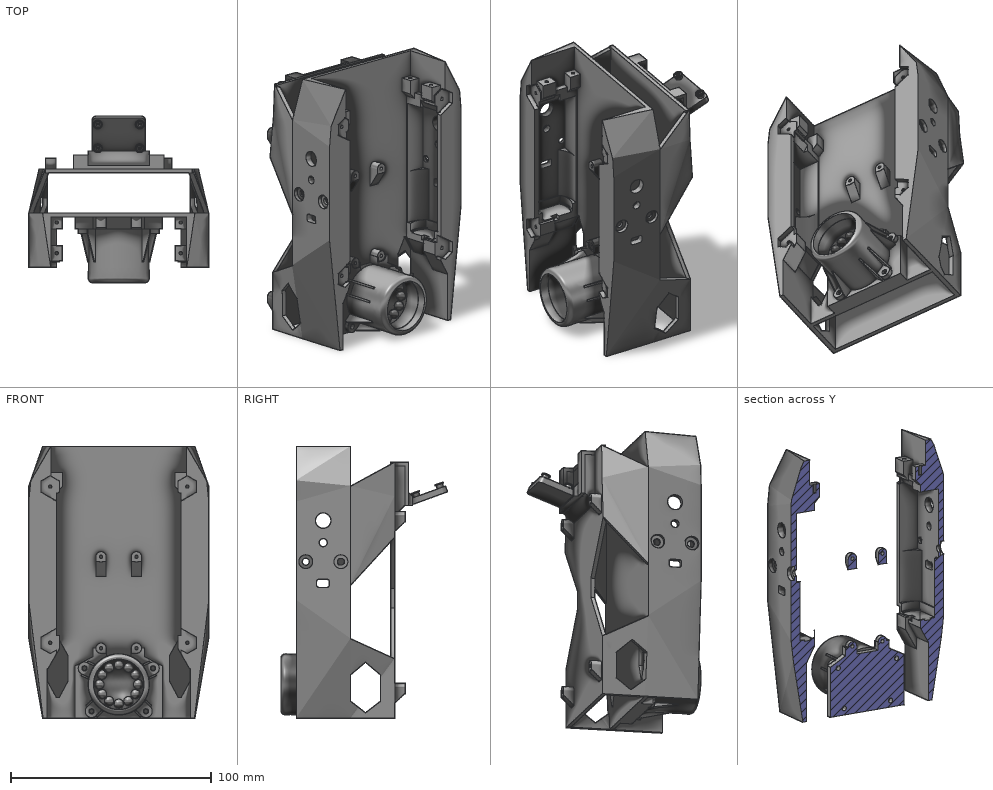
import cadquery as cq
import math


height = 136.0
half_width = 45.0
front_y = -27.2
back_y = 22.0
wall = 2.0
pilot_dia = 1.6
boss_dia = 5.2
boss_height = 5.3

shoulder_z = 116.1
hip_z = 39.8
end_half_width = 38.1
upper_inner = 33.9
rail_inner = 31.0
lower_inner = 35.8
rail_top_z = 115.9
rail_bottom_z = 24.2
rail_split_y = -16.3
rail_foot_inner = 29.5
mount_x = 34.3
mount_zs = (37.8, 115.9)
mount_flat = 9.4
mount_face_y = -24.6
mount_hole_depth = 6.8
pocket_y = -13.9
pocket_x = 33.0
pocket_back_x = 41.6
boss_x = 8.8
upper_boss_z = 80.8
upper_boss_drop = 7.5

strut_wall = 2.5
standoff_dia = 5.5
standoff_xs = (-34.0, 23.8)
standoff_zs = (15.0, 100.8)
standoff_drop = 5.0
rear_corners = ((36.7, 128.1), (37.5, 111.0), (39.8, 90.6))
lower_corner_z = 29.8
bracket_half = 22.7
bracket_back_y = 29.0
bracket_bottom_z = 106.4
bracket_top_z = rear_corners[0][1]
notch_half = 15.4
notch_y = 23.8

cover_wall = 1.9
cover_y = bracket_back_y - cover_wall
cover_z = bracket_top_z - cover_wall
tray_tilt = 20.0
foot_back_y = 31.0

lamp_z = 17.0
lamp_dia = 30.5
lamp_back_y = -8.0
lamp_front_y = -35.0
lamp_floor = 2.3
flare_y = -27.7
lamp_flare = 0.1
lamp_round = 2.5
bore_dia = 25.0
mouth_dia = 25.3
mouth_back_y = -30.5
foot_hole_dia = 2.6
foot_pilot_dia = 2.2
foot_width = 6.3
foot_centres = ((17.1, 25.0), (13.6, 3.5))
rib_thickness = 1.0
rib_front_y = -24.5

module_front_y = -22.2
dish_depth = 5.5
bulb_y = -20.8
bulb_count = 12
bulb_dia = 4.8
bulb_circle_dia = 19.5


def slab(outline, y_from, y_to):
    """Plate with an XZ outline, between two y positions."""
    return cq.Workplane("XZ", origin=(0, y_from, 0)).polyline(outline).close().extrude(y_from - y_to)


def profile(outline, x_from, x_to):
    """Bar with a YZ outline, between two x positions."""
    return cq.Workplane("YZ", origin=(x_from, 0, 0)).polyline(outline).close().extrude(x_to - x_from)


def block(x_from, x_to, y_from, y_to, z_from, z_to):
    size = (x_to - x_from, y_to - y_from, z_to - z_from)
    return cq.Workplane("XY").box(*size, centered=False).translate((x_from, y_from, z_from))


def rod_y(x, z, dia, y_from, y_to):
    """Round bar along Y."""
    return cq.Workplane("XZ", origin=(x, y_from, z)).circle(dia / 2).extrude(y_from - y_to)


def rod_x(y, z, dia, x_from, x_to):
    """Round bar along X."""
    return cq.Workplane("YZ", origin=(x_from, y, z)).circle(dia / 2).extrude(x_to - x_from)


def rod_z(x, y, dia, z_from, z_to):
    """Round bar along Z."""
    return cq.Workplane("XY", origin=(x, y, z_from)).circle(dia / 2).extrude(z_to - z_from)


def mirrored(points):
    """Half outline followed by its mirror image in x = 0."""
    return points + [(-x, z) for x, z in reversed(points)]


def both_sides(half):
    return half.union(half.mirror("YZ"))


def polyhedron(faces):
    """Solid enclosed by flat faces, each given by its corners."""
    outlines = [cq.Wire.makePolygon([cq.Vector(*p) for p in face], close=True) for face in faces]
    shell = cq.Shell.makeShell([cq.Face.makeFromWires(outline) for outline in outlines])
    return cq.Workplane(cq.Solid.makeSolid(shell))


def flip(point):
    return (-point[0], point[1], point[2])


def boss(x, z, dia, base_y, direction, drop):
    """Round-topped screw boss on an upright plate, carried by a wedge that ends `drop` lower."""
    tip_y = base_y + direction * boss_height
    ledge_z = z - 2.3
    side = [(base_y, z), (tip_y, z), (tip_y, ledge_z), (base_y, ledge_z - drop)]
    body = profile(side, x - dia / 2, x + dia / 2).union(rod_y(x, z, dia, base_y, tip_y))
    return body.cut(rod_y(x, z, pilot_dia, base_y, tip_y))



def faceted_block():
    """Full-width block whose flanks fold along straight creases."""
    seam = [
        (end_half_width, 0, height),
        (half_width, 0, shoulder_z),
        (half_width, 0, hip_z),
        (end_half_width, 0, 0),
    ]
    front = [
        (upper_inner + 0.1, front_y, height),
        (43.9, front_y, 118.9),
        (half_width, front_y, 108.3),
        (half_width, front_y, 59.2),
        (37.8, front_y, 0),
    ]
    flank = [
        [seam[0], front[0], front[1]],
        [seam[0], front[1], seam[1]],
        [seam[1], front[1], front[2]],
        [seam[1], front[2], front[3], seam[2]],
        [seam[2], front[3], front[4]],
        [seam[2], front[4], seam[3]],
    ]
    faces = flank + [[flip(p) for p in face] for face in flank]
    for row in (seam, front):
        faces.append(row + [flip(p) for p in reversed(row)])
    for end in (0, -1):
        faces.append([seam[end], front[end], flip(front[end]), flip(seam[end])])
    return polyhedron(faces)


def flank_space():
    """Open space between the flanks, in front of the plate."""
    top = [(upper_inner, height), (upper_inner, rail_top_z), (rail_inner, rail_top_z)]
    deep = top + [(rail_inner, 38.6), (lower_inner, 30.3), (lower_inner, 0)]
    foot = [(rail_inner, 41.5), (rail_foot_inner, 41.5), (rail_foot_inner, 35.1), (lower_inner, rail_bottom_z)]
    shallow = top + foot + [(lower_inner, 0)]
    space = slab(mirrored(deep), -wall, rail_split_y)
    space = space.union(slab(mirrored(shallow), rail_split_y, front_y))
    return space.union(block(-rail_inner, rail_inner, front_y, mount_face_y, rail_bottom_z, rail_top_z))


def hexagon(x, z):
    radius = mount_flat / math.sqrt(3)
    return [
        (x + radius * math.cos(math.radians(a)), z + radius * math.sin(math.radians(a)))
        for a in range(30, 390, 60)
    ]


def mount_recess(z, direction):
    """Pad recess in a flank's front face, left open toward the middle; direction is its open end."""
    half_flat = mount_flat / 2
    corner = mount_flat / math.sqrt(3)
    open_x = mount_x - mount_flat
    outer_x = mount_x + half_flat
    run = (outer_x - open_x) / math.sqrt(3)
    outline = [
        (mount_x, z - direction * corner),
        (outer_x, z - direction * corner / 2),
        (outer_x, z + direction * corner / 2),
        (open_x, z + direction * (corner / 2 + run)),
        (open_x, z),
    ]
    return slab(outline, mount_face_y, front_y)


def flank_pocket():
    """Upright pocket open toward the middle: square above, U-shaped below, over a stepped round seat."""
    half = 10.9
    seat_x = 35.4
    seat_back_x = pocket_back_x - 0.7
    mouth_x = rail_foot_inner
    shelf_z = 73.5
    pocket_top_z = 109.2
    ledge_z = 46.9
    step_z = 42.8
    floor_z = 42.2
    back, front = pocket_y + half, pocket_y - half
    pocket = block(mouth_x, pocket_back_x, front, back, shelf_z, pocket_top_z)
    pocket = pocket.union(block(mouth_x, pocket_x, front, back, ledge_z, shelf_z))
    barrel = rod_z(pocket_x, pocket_y, 2 * half, ledge_z, shelf_z)
    upper_seat = rod_z(seat_x, pocket_y, 19.5, step_z, ledge_z)
    lower_seat = rod_z(seat_x, pocket_y, 18.0, floor_z, step_z)
    seats = upper_seat.union(lower_seat).cut(block(seat_back_x, 2 * seat_back_x, front, back, 0, height))
    barrel = barrel.cut(block(pocket_back_x, 2 * pocket_back_x, front, back, 0, height))
    pocket = pocket.union(barrel).union(seats)
    ramp = slab([(rail_inner, pocket_top_z), (rail_inner, 113.0), (33.2, pocket_top_z)], -12.2, -24.0)
    drain_notch = block(mouth_x, 33.0, rail_split_y, -13.0, 40.1, floor_z)
    return pocket.union(ramp).union(drain_notch)


def flank_holes():
    """Holes through the flat part of a flank."""
    inside = rail_inner
    counterbore_depth = 2.0
    holes = rod_x(pocket_y + 0.1, 98.9, 7.6, inside, half_width)
    holes = holes.union(rod_x(pocket_y + 0.1, 87.9, 4.0, inside, half_width))
    for y in (-4.9, -22.5):
        holes = holes.union(rod_x(y, 78.3, 3.4, inside, half_width))
        holes = holes.union(rod_x(y, 78.3, 7.0, half_width - counterbore_depth, half_width))
    slot = block(inside, half_width, pocket_y - 3.1, pocket_y + 3.1, 65.5, 69.5).edges("|X").fillet(1.1)
    return holes.union(slot)


def top_blocks():
    """Two screw blocks at the top of a rail, with vertical pilot holes."""
    tip_x = 28.2
    outline = [(35.4, 123.0), (tip_x, 123.0), (tip_x, 115.9), (rail_inner, 113.0), (35.4, 113.0)]
    hole_x = (tip_x + upper_inner) / 2
    blocks = slab(outline, -wall, lamp_back_y).union(slab(outline, rail_split_y, -24.0))
    for y in (-4.8, -20.1):
        blocks = blocks.cut(rod_z(hole_x, y, pilot_dia, 118.3, 123.0))
    return blocks


def lamp_pad():
    """Stepped pad that carries the lamp, with two screw bosses on its top corners."""
    outline = [(21.8, 0), (21.8, 26.2), (12.9, 30.9), (12.9, 35.1), (6.1, 35.1), (6.1, 30.9)]
    pad = slab(mirrored(outline), -wall, lamp_back_y)
    boss_z = 35.1
    boss_y = -wall - boss_height
    radius = boss_dia / 2
    top = rod_y(boss_x, boss_z, boss_dia, -wall, boss_y)
    recess = rod_y(boss_x, boss_z, boss_dia, boss_y, lamp_back_y)
    recess = recess.union(block(boss_x - radius, boss_x, lamp_back_y, boss_y, boss_z - radius, boss_z))
    hole = rod_y(boss_x, boss_z, pilot_dia, -wall, boss_y)
    pad = pad.union(both_sides(top)).cut(both_sides(recess)).cut(both_sides(hole))
    return pad


def plate_window():
    """Tall eight-sided window in the plate, beside the inner face of a flank."""
    inner_x = 25.3
    tip_xs = (29.8, 31.1)
    side_zs = (18.8, 31.3)
    tip_zs = (10.3, 39.3)
    outline = [
        (lower_inner, side_zs[0]), (tip_xs[1], tip_zs[0]), (tip_xs[0], tip_zs[0]), (inner_x, side_zs[0]),
        (inner_x, side_zs[1]), (tip_xs[0], tip_zs[1]), (tip_xs[1], tip_zs[1]), (lower_inner, side_zs[1]),
    ]
    return slab(outline, 0, -wall)


housing = faceted_block().cut(flank_space())
housing = housing.union(both_sides(top_blocks()))
for mount_z, open_end in zip(mount_zs, (1, -1)):
    housing = housing.cut(both_sides(mount_recess(mount_z, open_end)))
    housing = housing.union(both_sides(slab(hexagon(mount_x, mount_z), rail_split_y, mount_face_y)))
    housing = housing.cut(both_sides(rod_y(mount_x, mount_z, pilot_dia, mount_face_y + mount_hole_depth, front_y)))
housing = housing.cut(both_sides(flank_pocket())).cut(both_sides(flank_holes()))
housing = housing.cut(both_sides(plate_window()))
housing = housing.union(lamp_pad())
housing = housing.union(both_sides(boss(boss_x, upper_boss_z, boss_dia, -wall, -1, upper_boss_drop)))
for foot_x, foot_z in foot_centres:
    housing = housing.cut(both_sides(rod_y(foot_x, foot_z, foot_pilot_dia, -wall, lamp_back_y)))


def upper_strut(inset):
    """Faceted strut block from the seam to the back plate, down to x = 0, set in by `inset`."""
    tip = half_width - inset
    seam = [(tip, 0, shoulder_z), (tip, 0, 66.5)]
    back = [(x - inset, back_y, z) for x, z in rear_corners]
    ridge = [(0, *p[1:]) for p in (back[0], seam[0], seam[1], back[2])]
    return polyhedron([
        [back[0], seam[0], back[1]],
        [back[1], seam[0], seam[1]],
        [back[1], seam[1], back[2]],
        [back[0], back[1], back[2], ridge[3], ridge[0]],
        [seam[0], seam[1], ridge[2], ridge[1]],
        [back[0], seam[0], ridge[1], ridge[0]],
        [back[2], seam[1], ridge[2], ridge[3]],
        ridge,
    ])


def lower_strut(inset):
    """Faceted foot block from the seam to the back plate, down to x = 0, set in by `inset`."""
    toe = end_half_width - inset
    seam = [(half_width - inset, 0, hip_z), (toe, 0, 0)]
    back = [(toe, back_y, lower_corner_z), (toe, back_y, 0)]
    ridge = [(0, *p[1:]) for p in (back[0], seam[0], seam[1], back[1])]
    return polyhedron([
        [back[0], seam[0], seam[1]],
        [back[0], seam[1], back[1]],
        [back[0], back[1], ridge[3], ridge[0]],
        [seam[0], seam[1], ridge[2], ridge[1]],
        [back[0], seam[0], ridge[1], ridge[0]],
        [back[1], seam[1], ridge[2], ridge[3]],
        ridge,
    ])


def back_plate():
    """Rear plate narrowed to a waist between the upper and lower struts."""
    waist = 14.1
    lower_edge = [(waist, 64.9), (waist, 55.1), (end_half_width, lower_corner_z), (end_half_width, 0)]
    outline = list(rear_corners) + lower_edge
    return slab(mirrored(outline), back_y, back_y - wall)


def bracket_base():
    """Block on the back plate that the cover fits over, notched for the foot of the cover."""
    ramp_z = bracket_bottom_z - (cover_y - back_y)
    side = [(back_y, ramp_z), (cover_y, bracket_bottom_z), (cover_y, cover_z), (back_y, cover_z)]
    base = profile(side, -bracket_half, bracket_half)
    return base.cut(block(-notch_half, notch_half, notch_y, cover_y, bracket_bottom_z, cover_z))


def side_window():
    """Upright hexagonal window through a lower strut, starting at the seam."""
    width = 14.8
    side_zs = (8.5, 21.8)
    tip_zs = (2.9, 28.0)
    outline = [
        (0, side_zs[1]), (width / 2, tip_zs[1]), (width, side_zs[1]),
        (width, side_zs[0]), (width / 2, tip_zs[0]), (0, side_zs[0]),
    ]
    return profile(outline, 0, half_width)


upper = upper_strut(0).cut(upper_strut(strut_wall))
lower = lower_strut(0).cut(lower_strut(strut_wall))
lower = lower.cut(side_window())
rear_frame = back_plate().union(both_sides(upper)).union(both_sides(lower)).union(bracket_base())
for standoff_x in standoff_xs:
    for standoff_z in standoff_zs:
        rear_frame = rear_frame.union(boss(standoff_x, standoff_z, standoff_dia, back_y, 1, standoff_drop))

chassis = housing.union(rear_frame)


def cover_shell():
    """L-shaped cover over the bracket base, with a sloping foot in its notch."""
    angle_profile = [
        (back_y, bracket_top_z), (bracket_back_y, bracket_top_z), (bracket_back_y, bracket_bottom_z),
        (cover_y, bracket_bottom_z), (cover_y, cover_z), (back_y, cover_z),
    ]
    shell = profile(angle_profile, -bracket_half, bracket_half)
    shell = shell.cut(block(-notch_half, notch_half, notch_y, bracket_back_y, bracket_bottom_z, bracket_top_z))
    slope_z = 110.8
    foot = [
        (notch_y, bracket_bottom_z), (foot_back_y, bracket_bottom_z), (foot_back_y, slope_z),
        (notch_y, slope_z + foot_back_y - notch_y),
    ]
    return shell.union(profile(foot, -notch_half, notch_half))


def tray():
    """Plate with four flanged tubes, built level with its root at the origin and then tilted."""
    half, length, thickness = 13.3, 18.6, 3.1
    root = 1.4
    root_z = 106.9
    corner_radius = 2.3
    tube_dia = 3.4
    flange_dia = 4.5
    tube_top = thickness + 2.3
    flange_z = tube_top - 0.5
    sink_z = tube_top - 0.3
    plate = block(-half, half, -root, length, 0, thickness).edges("|Z and >Y").fillet(corner_radius)
    for x in (-10.5, 10.5):
        for y in (3.3, 15.9):
            plate = plate.union(rod_z(x, y, tube_dia, thickness, tube_top))
            plate = plate.union(rod_z(x, y, flange_dia, flange_z, tube_top))
            plate = plate.cut(rod_z(x, y, pilot_dia, thickness, tube_top))
            plate = plate.cut(rod_z(x, y, tube_dia, sink_z, tube_top))
    return plate.rotate((0, 0, 0), (1, 0, 0), tray_tilt).translate((0, foot_back_y, root_z))


cover = cover_shell().union(tray())


def lamp_foot(x, z):
    """Rounded foot on the line from the lamp axis, between two tapering ribs."""
    reach = math.hypot(x, z - lamp_z)
    angle = math.degrees(math.atan2(z - lamp_z, x))
    foot_y = lamp_back_y - lamp_floor
    foot = block(0, reach, foot_y, lamp_back_y, -foot_width / 2, foot_width / 2)
    foot = foot.union(rod_y(reach, 0, foot_width, lamp_back_y, foot_y))
    foot = foot.cut(rod_y(reach, 0, foot_hole_dia, lamp_back_y, foot_y))
    rib_outline = [
        (0, lamp_back_y), (reach, lamp_back_y), (reach, foot_y),
        (lamp_dia / 2, rib_front_y), (0, rib_front_y),
    ]
    rib = cq.Workplane("XY").polyline(rib_outline).close().extrude(rib_thickness)
    for rib_z in (foot_width / 2, -foot_width / 2 - rib_thickness):
        foot = foot.union(rib.translate((0, 0, rib_z)))
    return foot.rotate((0, 0, 0), (0, 1, 0), -angle).translate((0, 0, lamp_z))


def lamp_barrel():
    """Turned barrel that flares slightly toward its rounded front."""
    radius = lamp_dia / 2
    outline = [
        (0, lamp_back_y), (radius, lamp_back_y), (radius, flare_y),
        (radius + lamp_flare, lamp_front_y), (0, lamp_front_y),
    ]
    barrel = cq.Workplane("XY").polyline(outline).close().revolve(360, (0, 0, 0), (0, 1, 0))
    return barrel.faces("<Y").edges().fillet(lamp_round).translate((0, 0, lamp_z))


lamp = lamp_barrel()
for foot_x, foot_z in foot_centres:
    lamp = lamp.union(both_sides(lamp_foot(foot_x, foot_z)))
lamp = lamp.cut(rod_y(0, lamp_z, bore_dia, lamp_back_y - lamp_floor, lamp_front_y))
lamp = lamp.cut(rod_y(0, lamp_z, mouth_dia, mouth_back_y, lamp_front_y))


def light_module():
    """Dished plug in the lamp bore with a ring of round bulbs."""
    rim = bore_dia / 2
    dish_radius = (rim ** 2 + dish_depth ** 2) / (2 * dish_depth)
    dish_y = module_front_y + dish_depth - dish_radius
    plug = rod_y(0, lamp_z, bore_dia, lamp_back_y - lamp_floor, module_front_y)
    plug = plug.cut(cq.Workplane("XY").sphere(dish_radius).translate((0, dish_y, lamp_z)))
    for i in range(bulb_count):
        angle = 2 * math.pi * i / bulb_count
        x = bulb_circle_dia / 2 * math.cos(angle)
        z = lamp_z + bulb_circle_dia / 2 * math.sin(angle)
        plug = plug.union(cq.Workplane("XY").sphere(bulb_dia / 2).translate((x, bulb_y, z)))
    return plug


module = light_module()

result = cq.Compound.makeCompound([chassis.val(), cover.val(), lamp.val(), module.val()])